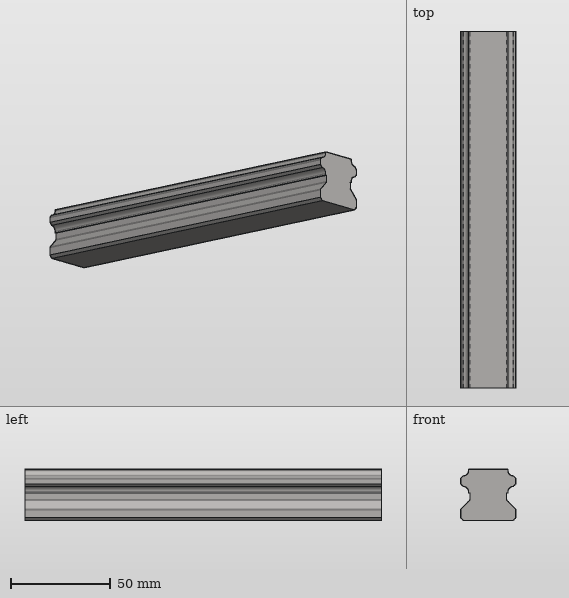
import cadquery as cq
import math

width = 28.0
length = 180.0
height = 26.0

base_chamfer = 1.5
base_side_top = 5.6
waist_half_width = 9.3
shoulder_half_width = 10.0
lobe_center_height = 19.9
lobe_flat_length = 2.7
lobe_bevel = 1.35
corner_radius = 0.6
top_edge_radius = 0.5

half_width = width / 2
waist_bottom = base_side_top + half_width - waist_half_width
waist_top = 2 * lobe_center_height - height
lobe_shoulder = half_width - lobe_bevel
groove_radius = lobe_shoulder - shoulder_half_width
flat_offset = lobe_flat_length / 2
bevel_offset = flat_offset + lobe_bevel
groove_offset = bevel_offset + groove_radius


def groove_middle(side):
    """Point halfway along the groove above (side = 1) or below (side = -1) the lobe."""
    reach = groove_radius * math.sqrt(0.5)
    center_z = lobe_center_height + side * groove_offset
    return (lobe_shoulder - reach, center_z - side * reach)


def make_half_rail():
    """Extrude the +X half of the rail profile with sharp corners."""
    return (
        cq.Workplane("XZ", origin=(0, length / 2, 0))
        .moveTo(0, 0)
        .lineTo(half_width - base_chamfer, 0)
        .lineTo(half_width, base_chamfer)
        .lineTo(half_width, base_side_top)
        .lineTo(waist_half_width, waist_bottom)
        .lineTo(waist_half_width, waist_top)
        .lineTo(shoulder_half_width, waist_top)
        .lineTo(shoulder_half_width, lobe_center_height - groove_offset)
        .threePointArc(groove_middle(-1), (lobe_shoulder, lobe_center_height - bevel_offset))
        .lineTo(half_width, lobe_center_height - flat_offset)
        .lineTo(half_width, lobe_center_height + flat_offset)
        .lineTo(lobe_shoulder, lobe_center_height + bevel_offset)
        .threePointArc(groove_middle(1), (shoulder_half_width, lobe_center_height + groove_offset))
        .lineTo(shoulder_half_width, height)
        .lineTo(0, height)
        .close()
        .extrude(length)
    )


def round_long_edge(body, x, z, radius):
    """Round the edge that runs the length of the rail through (x, z)."""
    return body.edges(cq.selectors.NearestToPointSelector((x, 0, z))).fillet(radius)


def make_rail():
    """Round the corners of one half and mirror it across X = 0."""
    half_rail = make_half_rail()
    rounded_corners = [
        (half_width, base_side_top),
        (waist_half_width, waist_bottom),
        (half_width, lobe_center_height + flat_offset),
        (lobe_shoulder, lobe_center_height + bevel_offset),
    ]
    for x, z in rounded_corners:
        half_rail = round_long_edge(half_rail, x, z, corner_radius)
    half_rail = round_long_edge(half_rail, shoulder_half_width, height, top_edge_radius)
    return half_rail.union(half_rail.mirror("YZ")).clean()


result = make_rail()